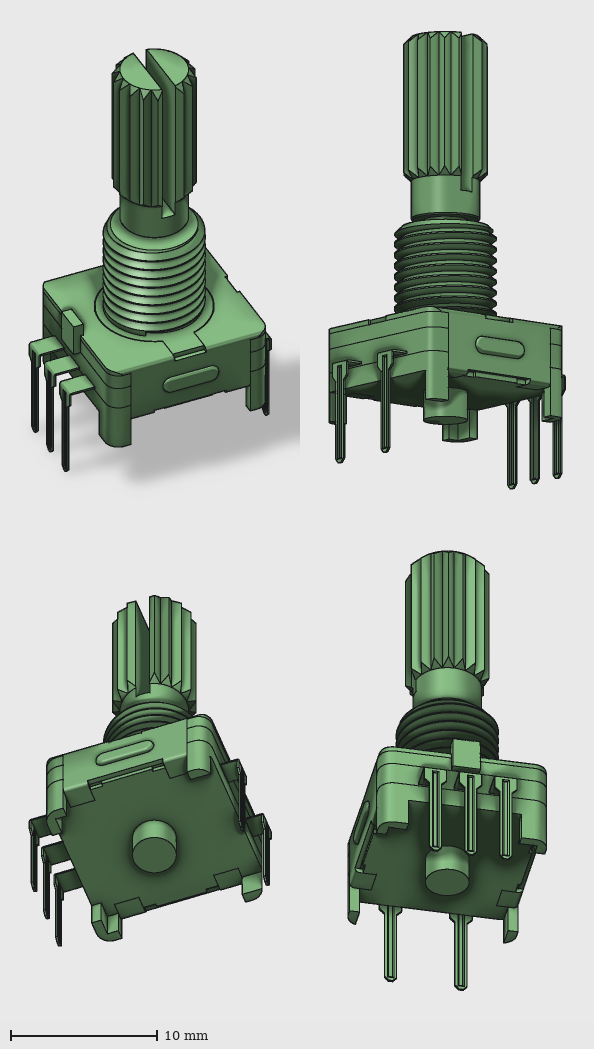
import cadquery as cq
import math

case_width = 11.76
case_depth = 12.0
case_corner_radius = 1.0
case_top = 6.43
base_underside = 2.0
base_top = 3.35
wafer_top = 5.0

sheet = 0.35
flap_depth = 9.0
flange_radius = 4.05
flange_clearance = 0.05
flange_arm_depth = 2.37
edge_notch_width = 1.92
edge_notch_depth = 0.2
hem_gap_depth = 5.45
hem_length = 1.5
hem_lug_depth = 3.65
hem_relief = 0.2
width_over_buttons = 12.3
button_length = 4.2
button_height = 1.2
button_level = 4.2
button_proud = (width_over_buttons - case_width) / 2
button_fillet = 0.25

foot_wall = 0.7
front_foot_gap = 7.88

thread_diameter = 7.0
thread_pitch = 0.75
thread_depth = 0.46
thread_crest_flat = thread_pitch / 8
thread_cut_clearance = 0.05
thread_start_angle = -35
thread_start_height = 0.02
thread_run = 7.3
bushing_height = 7.0
bushing_chamfer = 0.5
locating_tab_top = 7.35
locating_tab_thickness = 0.75

shaft_diameter = 3.0
shaft_head_diameter = 4.7
shaft_head_gap = 0.5
shaft_head_chamfer = 0.1
shaft_top = 26.63
spline_diameter = 5.8
spline_teeth = 18
spline_length = 10.0
slot_width = 1.0
slot_depth = 11.0

terminal_pitch = 2.46
terminal_thickness = 0.14
terminal_bend_radius = 0.2
terminal_top = 3.61
terminal_shoulder_width = 1.56
terminal_shoulder_bottom = 2.6
terminal_width = 0.84
terminal_tip_width = 0.3
terminal_tip_length = 0.3
terminal_bottom = -3.45
front_terminal_reach = 7.93
rear_terminal_reach = 7.33
terminal_groove_width = 0.46
terminal_groove_floor = 0.26
terminal_groove_depth = 0.05
terminal_groove_top = 3.3
terminal_groove_bottom = -3.2

half_width = case_width / 2
half_depth = case_depth / 2
core_width = case_width - 2 * sheet
cover_underside = case_top - sheet
hem_top = base_underside + sheet
spline_bottom = shaft_top - spline_length


def block(width, depth, bottom, top):
    """Box centred on the Z axis between two heights."""
    return cq.Workplane("XY").workplane(offset=bottom).rect(width, depth).extrude(top - bottom)


def cylinder(diameter, bottom, top):
    """Cylinder on the Z axis between two heights."""
    return cq.Workplane("XY").workplane(offset=bottom).circle(diameter / 2).extrude(top - bottom)


def case_slab(bottom, top):
    """Full case outline, with rounded vertical corners."""
    return block(case_width, case_depth, bottom, top).edges("|Z").fillet(case_corner_radius)


def case_layer(bottom, top):
    """Case outline with its two sides set back to take the cover flaps."""
    flap_space = block(case_width, flap_depth, bottom, top).cut(block(core_width, flap_depth, bottom, top))
    return case_slab(bottom, top).cut(flap_space)


def cover_wrap():
    """Sheet folded over the top, down both sides and in under the base."""
    wrap = block(case_width, flap_depth, base_underside, cover_underside)
    wrap = wrap.cut(block(core_width, flap_depth, hem_top, cover_underside))
    wrap = wrap.cut(block(case_width - 2 * hem_length, flap_depth, base_underside, hem_top))
    wrap = wrap.cut(block(case_width, hem_gap_depth, base_underside, hem_top))
    wrap = wrap.union(case_slab(cover_underside, case_top))
    bend_envelope = block(case_width, case_depth, base_underside, case_top).edges("|Y").fillet(sheet)
    return wrap.intersect(bend_envelope)


def side_button(side):
    """Rounded oblong pressed out of one flap."""
    button = (
        cq.Workplane("YZ")
        .center(0, button_level)
        .slot2D(button_length, button_height)
        .extrude(button_proud)
        .faces(">X")
        .edges()
        .fillet(button_fillet)
        .translate((half_width, 0, 0))
    )
    return button if side > 0 else button.mirror("YZ")


def make_cover():
    """Folded sheet, opened for the bushing flange, with edge notches and side buttons."""
    cover = cover_wrap()
    cover = cover.cut(cylinder(2 * (flange_radius + flange_clearance), cover_underside, case_top))
    cover = cover.cut(block(case_width, flange_arm_depth, cover_underside, case_top))
    middle = block(edge_notch_width, case_depth - 2 * edge_notch_depth, cover_underside, case_top)
    cover = cover.cut(block(edge_notch_width, case_depth, cover_underside, case_top).cut(middle))
    for side in (-1, 1):
        cover = cover.union(side_button(side))
    return cover


def make_base():
    """Bottom layer: L-shaped front feet, thin rear feet and recesses for the cover hems."""
    base = case_layer(0, base_top)
    base = base.cut(block(case_width, flap_depth, 0, base_underside))
    base = base.cut(block(front_foot_gap, case_depth, 0, base_underside))
    hollow = block(case_width - 2 * foot_wall, case_depth, 0, base_underside)
    base = base.cut(hollow.translate((0, foot_wall, 0)))

    hem_space = block(case_width, flap_depth, base_underside, hem_top)
    hem_space = hem_space.cut(block(case_width - 2 * hem_length, flap_depth, base_underside, hem_top))
    hem_space = hem_space.cut(block(case_width, hem_gap_depth, base_underside, hem_top))
    base = base.cut(hem_space)

    relief = block(core_width, hem_gap_depth, base_underside, hem_top)
    relief = relief.cut(block(core_width, hem_lug_depth, base_underside, hem_top))
    relief = relief.cut(block(core_width - 2 * hem_relief, hem_gap_depth, base_underside, hem_top))
    base = base.cut(relief)
    return base.cut(cylinder(shaft_diameter, base_underside, base_top))


def make_wafer():
    """Plain middle layer, bored for the shaft."""
    return case_layer(base_top, wafer_top).cut(cylinder(shaft_diameter, base_top, wafer_top))


def thread_groove():
    """Right-handed V groove, run past the top of the bushing."""
    root = thread_diameter / 2 - thread_depth
    cut_depth = thread_depth + thread_cut_clearance
    flank_slope = (thread_pitch - thread_crest_flat) / 2 / thread_depth
    mouth = flank_slope * cut_depth
    path = cq.Wire.makeHelix(thread_pitch, thread_run, root)
    profile = (
        cq.Workplane("XZ")
        .moveTo(root, 0)
        .lineTo(root + cut_depth, mouth)
        .lineTo(root + cut_depth, -mouth)
        .close()
    )
    groove = profile.sweep(cq.Workplane(path), isFrenet=True)
    groove = groove.rotate((0, 0, 0), (0, 0, 1), thread_start_angle)
    return groove.translate((0, 0, case_top + thread_start_height))


def make_bushing():
    """Threaded tube on a top plate, with a flange and arms flush in the cover and a locating tab."""
    plate = case_layer(wafer_top, cover_underside)
    tube = cylinder(thread_diameter, case_top, case_top + bushing_height)
    bevelled_tube = tube.faces(">Z").chamfer(bushing_chamfer)
    tube = tube.cut(thread_groove()).intersect(bevelled_tube)
    bushing = plate.union(cylinder(2 * flange_radius, cover_underside, case_top))
    bushing = bushing.union(block(core_width, flange_arm_depth, cover_underside, case_top))
    tab = block(edge_notch_width, locating_tab_thickness, wafer_top, locating_tab_top)
    tab_y = -half_depth + edge_notch_depth - locating_tab_thickness / 2
    bushing = bushing.union(tab.translate((0, tab_y, 0))).union(tube)
    return bushing.cut(cylinder(shaft_diameter, wafer_top, case_top + bushing_height))


def make_spline():
    """Fluted head: a star of sharp teeth with both ends bevelled to the root."""
    tip = spline_diameter / 2
    root = shaft_head_diameter / 2
    step = math.pi / spline_teeth
    star = []
    for index in range(2 * spline_teeth):
        radius = root if index % 2 == 0 else tip
        star.append((radius * math.sin(index * step), radius * math.cos(index * step)))
    teeth = cq.Workplane("XY").workplane(offset=spline_bottom).polyline(star).close().extrude(spline_length)
    ends = cylinder(spline_diameter, spline_bottom, shaft_top).faces("<Z or >Z").chamfer(tip - root)
    return teeth.intersect(ends)


def make_shaft():
    """Slim shaft through the whole case, with a slotted, fluted head."""
    head_bottom = case_top + bushing_height + shaft_head_gap
    head = cylinder(shaft_head_diameter, head_bottom, spline_bottom).faces("<Z").chamfer(shaft_head_chamfer)
    shaft = cylinder(shaft_diameter, 0, head_bottom).union(head).union(make_spline())
    return shaft.cut(block(spline_diameter, slot_width, shaft_top - slot_depth, shaft_top))


def terminal_groove():
    """Shallow stiffening groove with sloping walls, on the plane Y = 0."""
    wall_run = (terminal_groove_width - terminal_groove_floor) / 2
    wall_slope = math.degrees(math.atan(wall_run / terminal_groove_depth))
    middle = (terminal_groove_top + terminal_groove_bottom) / 2
    return (
        cq.Workplane("XZ", origin=(0, 0, middle))
        .rect(terminal_groove_width, terminal_groove_top - terminal_groove_bottom)
        .extrude(terminal_groove_depth, taper=wall_slope)
    )


def make_terminal(x, side, reach):
    """Bent strip leaving the case face and dropping to a pointed, grooved leg."""
    length = reach - half_depth
    strip = (
        cq.Workplane("YZ")
        .moveTo(0, terminal_top)
        .lineTo(length, terminal_top)
        .lineTo(length, terminal_bottom)
        .lineTo(length - terminal_thickness, terminal_bottom)
        .lineTo(length - terminal_thickness, terminal_top - terminal_thickness)
        .lineTo(0, terminal_top - terminal_thickness)
        .close()
        .extrude(terminal_shoulder_width / 2, both=True)
        .edges("|X and >Y and >Z")
        .fillet(terminal_bend_radius)
    )
    shoulder = terminal_shoulder_width / 2
    half = terminal_width / 2
    tip = terminal_tip_width / 2
    outline = [
        (shoulder, terminal_top),
        (shoulder, terminal_shoulder_bottom),
        (half, terminal_shoulder_bottom - (shoulder - half)),
        (half, terminal_bottom + terminal_tip_length),
        (tip, terminal_bottom),
    ]
    mirrored = [(-px, pz) for px, pz in reversed(outline)]
    leg_shape = cq.Workplane("XZ").polyline(outline + mirrored).close().extrude(-length)
    outer_groove = terminal_groove().translate((0, length, 0))
    inner_groove = terminal_groove().mirror("XZ").translate((0, length - terminal_thickness, 0))
    terminal = strip.intersect(leg_shape).cut(outer_groove).cut(inner_groove)
    terminal = terminal.translate((0, half_depth, 0))
    if side < 0:
        terminal = terminal.mirror("XZ")
    return terminal.translate((x, 0, 0))


cover = make_cover()
bushing = make_bushing()
wafer = make_wafer()
base = make_base()
shaft = make_shaft()

terminals = []
for x in (-terminal_pitch, 0, terminal_pitch):
    terminals.append(make_terminal(x, -1, front_terminal_reach))
for x in (-terminal_pitch, terminal_pitch):
    terminals.append(make_terminal(x, 1, rear_terminal_reach))

result = cq.Compound.makeCompound(
    [cover.val(), bushing.val(), wafer.val(), base.val(), shaft.val()] + [t.val() for t in terminals]
)